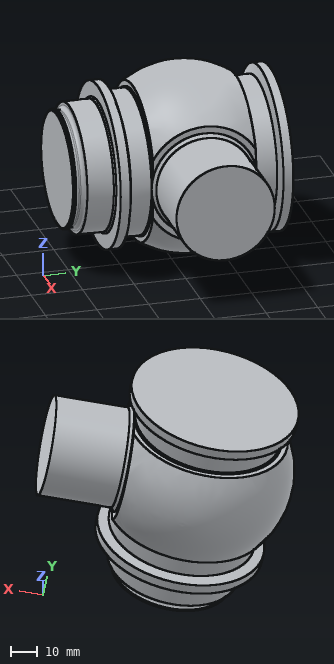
import cadquery as cq
import math

sphere_radius = 36.5
body_half_depth = 19.9
branch_face_x = 28.2

total_length_x = 94.0
branch_end_x = total_length_x - sphere_radius
branch_radius = 38.1 / 2
branch_root_bevel = 1.4

neck_radius = 55.7 / 2
neck_root_bevel = 0.5
flange_radius = 63.8 / 2
flange_face = 33.5
flange_rim_width = 3.9
flange_taper_width = 1.3

total_length_y = 82.7
plug_end = total_length_y - flange_face
plug_radius = 50.1 / 2
plug_root_bevel = 0.75
plug_shoulder = 44.5
groove_radius = 44.0 / 2
groove_fillet = 1.7
lip_radius = 45.4 / 2
lip_start = 48.1
lip_chamfer = 0.6


def make_housing():
    """Sphere cut flat on both Y sides and on the +X side."""
    sphere = cq.Workplane("XY").sphere(sphere_radius)
    envelope = cq.Workplane("XY").box(
        sphere_radius + branch_face_x, 2 * body_half_depth, 2 * sphere_radius
    ).translate(((branch_face_x - sphere_radius) / 2, 0, 0))
    return sphere.intersect(envelope)


def make_branch():
    """Solid pipe with a bevelled root."""
    root_end = branch_face_x + branch_root_bevel
    return (
        cq.Workplane("XY")
        .lineTo(0, branch_radius + branch_root_bevel)
        .lineTo(branch_face_x, branch_radius + branch_root_bevel)
        .lineTo(root_end, branch_radius)
        .lineTo(branch_end_x, branch_radius)
        .lineTo(branch_end_x, 0)
        .close()
        .revolve(360, (0, 0, 0), (1, 0, 0))
    )


def make_flanged_neck():
    """Neck and tapered flange revolved about the Y axis, towards -Y."""
    rim_start = flange_face - flange_rim_width
    return (
        cq.Workplane("XY")
        .lineTo(neck_radius + neck_root_bevel, 0)
        .lineTo(neck_radius + neck_root_bevel, -body_half_depth)
        .lineTo(neck_radius, -body_half_depth - neck_root_bevel)
        .lineTo(neck_radius, -rim_start + flange_taper_width)
        .lineTo(flange_radius, -rim_start)
        .lineTo(flange_radius, -flange_face)
        .lineTo(0, -flange_face)
        .close()
        .revolve(360, (0, 0, 0), (0, 1, 0))
    )


def make_plug():
    """Stepped plug with a filleted groove behind its end lip."""
    shoulder_arc_end = plug_shoulder + groove_fillet

    lip_arc_angle = math.acos(1 - (lip_radius - groove_radius) / groove_fillet)
    lip_arc_start = lip_start - groove_fillet * math.sin(lip_arc_angle)

    def groove_arc_radius(angle):
        """Radius on a groove arc at an angle measured from the groove floor."""
        return groove_radius + groove_fillet * (1 - math.cos(angle))

    shoulder_mid = math.radians(45)
    lip_mid = lip_arc_angle / 2
    return (
        cq.Workplane("XY")
        .moveTo(0, -flange_face)
        .lineTo(plug_radius + plug_root_bevel, -flange_face)
        .lineTo(plug_radius, -flange_face - plug_root_bevel)
        .lineTo(plug_radius, -plug_shoulder)
        .lineTo(groove_radius + groove_fillet, -plug_shoulder)
        .threePointArc(
            (groove_arc_radius(shoulder_mid), -shoulder_arc_end + groove_fillet * math.sin(shoulder_mid)),
            (groove_radius, -shoulder_arc_end),
        )
        .lineTo(groove_radius, -lip_arc_start)
        .threePointArc(
            (groove_arc_radius(lip_mid), -lip_arc_start - groove_fillet * math.sin(lip_mid)),
            (lip_radius, -lip_start),
        )
        .lineTo(lip_radius, -plug_end + lip_chamfer)
        .lineTo(lip_radius - lip_chamfer, -plug_end)
        .lineTo(0, -plug_end)
        .close()
        .revolve(360, (0, 0, 0), (0, 1, 0))
    )


front_neck = make_flanged_neck()
back_neck = front_neck.mirror("XZ")
result = (
    make_housing()
    .union(make_branch())
    .union(front_neck)
    .union(back_neck)
    .union(make_plug())
)